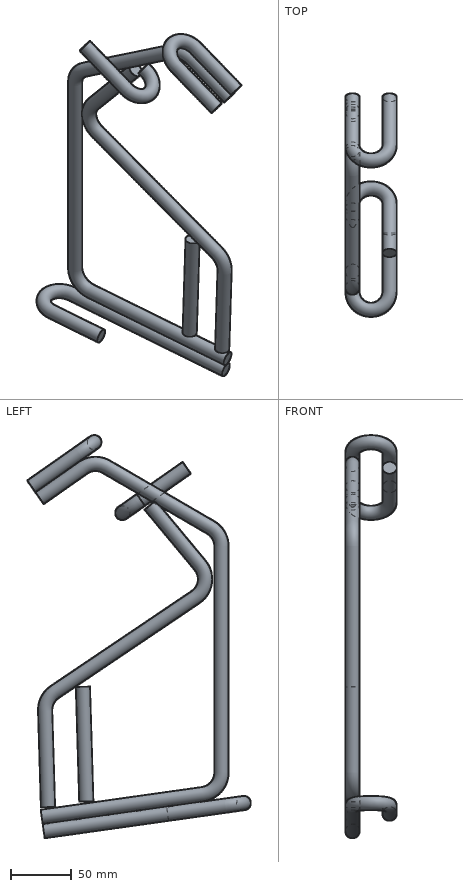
import cadquery as cq
import math

BAR_RADIUS = 6.0
BAR_DIAMETER = 2 * BAR_RADIUS
BEND_RADIUS = 18.0
HOOK_SPACING = 31.0
HOOK_RADIUS = HOOK_SPACING / 2

BASE_ANGLE = 8.0
GRIP_ANGLE = 35.0
POST_TILT = 1.7

BASE_END_Y = 149.8
UPRIGHT_BOTTOM_Z = 39.0
UPRIGHT_TOP_Z = 253.5
FRAME_CREST = (105.8, 315.0)
FRAME_TOP_END_Y = 151.5

BRACE_FOOT = (144.5, 26.0)
BRACE_REAR_CORNER_Z = 116.2
BRACE_FRONT_CORNER = (5.0, 212.0)
BRACE_TOP_END = (59.5, 277.5)

POST_FOOT = (112.5, 30.5)
POST_LENGTH = 95.7

TOP_HOOK_LEG = 48.7
FOOT_LONG_LEG = 152.8
FOOT_SHORT_LEG = 48.7
MIDDLE_HOOK_BEND = (70.0, 279.7)
MIDDLE_HOOK_LONG_LEG = 50.0
MIDDLE_HOOK_SHORT_LEG = 3.5


def slope(angle):
    """Rise in Z per unit of Y for an angle in degrees."""
    return math.tan(math.radians(angle))


def step(point, angle, distance):
    """Point reached from a (Y, Z) point, at an angle in degrees up from +Y."""
    turn = math.radians(angle)
    return (point[0] + distance * math.cos(turn), point[1] + distance * math.sin(turn))


def sweep_bar(path, start, direction):
    """Round bar along a centreline that leaves start in the given direction."""
    section = cq.Workplane(cq.Plane(origin=start, normal=direction)).circle(BAR_RADIUS)
    return section.sweep(cq.Workplane(path))


def bent_bar(corners):
    """Bar in the X = 0 plane through (Y, Z) corners, each inner corner rounded."""
    points = [cq.Vector(0, y, z) for y, z in corners]
    edges = []
    last = points[0]
    for before, corner, after in zip(points, points[1:], points[2:]):
        back = (before - corner).normalized()
        ahead = (after - corner).normalized()
        half_angle = back.getAngle(ahead) / 2
        setback = BEND_RADIUS / math.tan(half_angle)
        bend_start = corner + back * setback
        bend_end = corner + ahead * setback
        bisector = (back + ahead).normalized()
        bend_middle = corner + bisector * (BEND_RADIUS / math.sin(half_angle) - BEND_RADIUS)
        edges.append(cq.Edge.makeLine(last, bend_start))
        edges.append(cq.Edge.makeThreePointArc(bend_start, bend_middle, bend_end))
        last = bend_end
    edges.append(cq.Edge.makeLine(last, points[-1]))
    return sweep_bar(cq.Wire.assembleEdges(edges), points[0], points[1] - points[0])


def hook_bar(bend_point, angle, near_leg, far_leg):
    """U-bent bar that bulges along angle; near_leg lies at X = 0, far_leg on the +X side."""
    plane = cq.Plane(
        origin=(0, *bend_point),
        xDir=(1, 0, 0),
        normal=(0, *step((0, 0), angle + 90, 1)),
    )
    path = (
        cq.Workplane(plane)
        .moveTo(0, -near_leg)
        .lineTo(0, 0)
        .threePointArc((HOOK_RADIUS, HOOK_RADIUS), (HOOK_SPACING, 0))
        .lineTo(HOOK_SPACING, -far_leg)
    )
    start = plane.toWorldCoords((0, -near_leg, 0))
    return sweep_bar(path.wire().val(), start, plane.yDir)


base_end = (BASE_END_Y, UPRIGHT_BOTTOM_Z - BASE_END_Y * slope(BASE_ANGLE))
frame_top_end = (
    FRAME_TOP_END_Y,
    FRAME_CREST[1] - (FRAME_TOP_END_Y - FRAME_CREST[0]) * slope(GRIP_ANGLE),
)
frame = bent_bar([
    base_end,
    (0, UPRIGHT_BOTTOM_Z),
    (0, UPRIGHT_TOP_Z),
    FRAME_CREST,
    frame_top_end,
])

top_forward = 180 - GRIP_ANGLE
top_hook_end = step(frame_top_end, top_forward - 90, BAR_DIAMETER)
top_hook = hook_bar(
    step(top_hook_end, top_forward, TOP_HOOK_LEG), top_forward, TOP_HOOK_LEG, TOP_HOOK_LEG
)

foot_forward = 180 - BASE_ANGLE
foot_end = step(base_end, foot_forward + 90, BAR_DIAMETER)
foot = hook_bar(
    step(foot_end, foot_forward, FOOT_LONG_LEG), foot_forward, FOOT_LONG_LEG, FOOT_SHORT_LEG
)

brace_rear_y = BRACE_FOOT[0] + (BRACE_REAR_CORNER_Z - BRACE_FOOT[1]) * slope(POST_TILT)
brace = bent_bar([
    BRACE_FOOT,
    (brace_rear_y, BRACE_REAR_CORNER_Z),
    BRACE_FRONT_CORNER,
    BRACE_TOP_END,
]).cut(frame)

middle_hook = hook_bar(
    MIDDLE_HOOK_BEND, -GRIP_ANGLE, MIDDLE_HOOK_SHORT_LEG, MIDDLE_HOOK_LONG_LEG
)

post = bent_bar([POST_FOOT, step(POST_FOOT, 90 - POST_TILT, POST_LENGTH)])

result = cq.Compound.makeCompound([
    frame.val(),
    top_hook.val(),
    foot.val(),
    brace.val(),
    middle_hook.val(),
    post.val(),
])